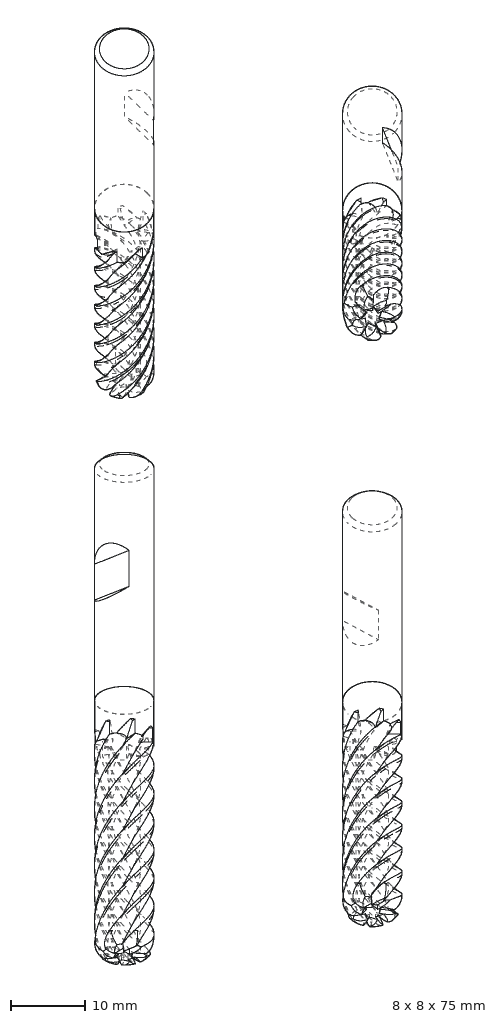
import cadquery as cq
import math

total_length = 75.0
cutter_length = 32.0
neck_length = 7.0
shank_diameter = 8.0
neck_diameter = 7.95
end_chamfer = 0.7
corner_radius = 2.0

flat_depth = 1.4
flat_length = 5.5
flat_centre_from_end = 18.0

tooth_count = 7
flute_pitch = 4.3
flute_depth = 1.8
land_angle = 7.0
relief_angle = 22.0
relief_depth = 0.4
valley_angle = 38.0
rake_hollow = 0.3
first_edge_angle = -105.0

runout_length = 2.2
runout_start_angle = 15.0
runout_depth = 0.5
runout_width_angle = 9.0

gash_depth = 0.8
gash_width = 1.2
gash_inner_radius = 1.0

tool_clearance = 0.75

shank_radius = shank_diameter / 2
neck_radius = neck_diameter / 2
shank_start = cutter_length + neck_length
tooth_angle = 360.0 / tooth_count
helix_lead = tooth_count * flute_pitch
cutter_twist = 360.0 * cutter_length / helix_lead
edge_angles = [first_edge_angle + i * tooth_angle for i in range(tooth_count)]
tip_edges = [edge - cutter_twist for edge in edge_angles]


def polar(radius, angle):
    a = math.radians(angle)
    return (radius * math.cos(a), radius * math.sin(a))


def make_fluted_bar():
    """Bar with the toothed cross-section twisted along its length."""
    valley_radius = shank_radius - flute_depth
    rake_radius = shank_radius - flute_depth / 2 - rake_hollow
    rake_angle = (valley_angle + tooth_angle) / 2
    section = cq.Workplane("XY").moveTo(*polar(shank_radius, tip_edges[0]))
    for edge in tip_edges:
        section = (
            section
            .threePointArc(
                polar(shank_radius, edge + land_angle / 2),
                polar(shank_radius, edge + land_angle),
            )
            .threePointArc(
                polar(shank_radius - relief_depth, edge + relief_angle),
                polar(valley_radius, edge + valley_angle),
            )
            .threePointArc(
                polar(rake_radius, edge + rake_angle),
                polar(shank_radius, edge + tooth_angle),
            )
        )
    return section.close().twistExtrude(cutter_length, cutter_twist)


def make_corner_tool():
    """Ring that rounds the corner at the tip of the cutter."""
    inner = shank_radius - corner_radius
    outside = shank_radius + tool_clearance
    arc_offset = corner_radius * math.sin(math.radians(45))
    return (
        cq.Workplane("XZ")
        .moveTo(inner, 0)
        .threePointArc(
            (inner + arc_offset, corner_radius - arc_offset),
            (shank_radius, corner_radius),
        )
        .lineTo(outside, corner_radius)
        .lineTo(outside, -tool_clearance)
        .lineTo(inner, -tool_clearance)
        .close()
        .revolve(360, (0, 0, 0), (0, 1, 0))
    )


def make_gash(edge):
    """Radial wedge cut into the tip just in front of the given cutting edge."""
    return (
        cq.Workplane("YZ", origin=(gash_inner_radius, 0, 0))
        .polyline([(0, 0), (0, gash_depth), (-gash_width, 0)])
        .close()
        .extrude(shank_radius)
        .rotate((0, 0, 0), (0, 0, 1), edge)
    )


def make_cutter():
    """Fluted cutter with a rounded corner and end teeth."""
    tip_tool = make_corner_tool()
    for edge in tip_edges:
        tip_tool = tip_tool.union(make_gash(edge))
    return make_fluted_bar().cut(tip_tool)


def make_runout(edge):
    """Tapering end of the flute that lies just before the given cutting edge."""
    outside = shank_radius + tool_clearance
    flute_start = edge - tooth_angle + runout_start_angle
    valley = edge - tooth_angle + valley_angle
    tip_start = edge - runout_width_angle
    tip_valley = edge - runout_width_angle / 3
    return (
        cq.Workplane("XY", origin=(0, 0, cutter_length))
        .polyline([
            polar(outside, flute_start),
            polar(shank_radius, flute_start),
            polar(shank_radius - flute_depth, valley),
            polar(shank_radius, edge),
            polar(outside, edge),
        ])
        .close()
        .workplane(offset=runout_length)
        .polyline([
            polar(outside, tip_start),
            polar(neck_radius, tip_start),
            polar(neck_radius - runout_depth, tip_valley),
            polar(neck_radius, edge),
            polar(outside, edge),
        ])
        .close()
        .loft(ruled=True)
    )


def make_flat():
    """Notch with 45 degree end walls that leaves the clamping flat."""
    centre = total_length - flat_centre_from_end
    floor = shank_radius - flat_depth
    half_floor = flat_length / 2
    half_mouth = half_floor + flat_depth
    return (
        cq.Workplane("YZ")
        .polyline([
            (floor, centre - half_floor),
            (shank_radius, centre - half_mouth),
            (shank_radius, centre + half_mouth),
            (floor, centre + half_floor),
        ])
        .close()
        .extrude(shank_radius, both=True)
    )


def make_shank():
    """Plain shank and neck, with the clamping flat and the flute run-outs."""
    shank = (
        cq.Workplane("XY", origin=(0, 0, shank_start))
        .circle(shank_radius)
        .extrude(total_length - shank_start)
        .faces(">Z")
        .edges()
        .chamfer(end_chamfer)
    )
    neck = (
        cq.Workplane("XY", origin=(0, 0, cutter_length))
        .circle(neck_radius)
        .extrude(neck_length)
    )
    shank = shank.union(neck).cut(make_flat())
    for edge in edge_angles:
        shank = shank.cut(make_runout(edge))
    return shank


cutter = make_cutter()
shank = make_shank()
result = cq.Compound.makeCompound([cutter.val(), shank.val()])